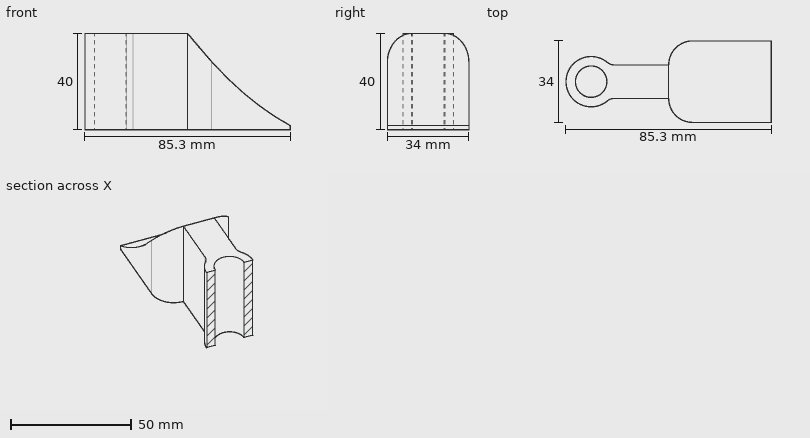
import cadquery as cq

length = 85.3
width = 34.0
height = 40.0

barrel_diameter = 21.0
bore_diameter = 13.0
barrel_x = barrel_diameter / 2

wedge_start = 42.7
corner_radius = 10.0
tip_height = 1.8

arm_width = width - 2 * corner_radius
arm_fillet = 4.3

pick_margin = 0.1

slope_upper = (53.4, 27.5)
slope_middle = (64.85, 16.2)
slope_lower = (74.65, 8.45)


def make_hinge():
    """Barrel and arm, blended by fillets along their two vertical joints."""
    barrel = cq.Workplane("XY").center(barrel_x, 0).circle(barrel_diameter / 2).extrude(height)
    arm = (
        cq.Workplane("XY")
        .moveTo((barrel_x + wedge_start) / 2, 0)
        .rect(wedge_start - barrel_x, arm_width)
        .extrude(height)
    )
    joint_x = barrel_x + ((barrel_diameter / 2) ** 2 - (arm_width / 2) ** 2) ** 0.5
    joints = cq.selectors.BoxSelector(
        (joint_x - pick_margin, -width / 2, -pick_margin),
        (joint_x + pick_margin, width / 2, height + pick_margin),
    )
    return barrel.union(arm).edges("|Z").edges(joints).fillet(arm_fillet)


def make_wedge():
    """Concave sloping wedge, rounded at its two vertical edges next to the arm."""
    profile = (
        cq.Workplane("XZ", origin=(0, width / 2, 0))
        .moveTo(wedge_start, 0)
        .lineTo(wedge_start, height)
        .spline([slope_upper, slope_middle, slope_lower, (length, tip_height)], includeCurrent=True)
        .lineTo(length, 0)
        .close()
        .extrude(width)
    )
    outline = (
        cq.Workplane("XY")
        .moveTo((wedge_start + length) / 2, 0)
        .rect(length - wedge_start, width)
        .extrude(height)
        .edges("|Z and <X")
        .fillet(corner_radius)
    )
    return profile.intersect(outline)


bore = cq.Workplane("XY").center(barrel_x, 0).circle(bore_diameter / 2).extrude(height)
result = make_hinge().union(make_wedge()).cut(bore)